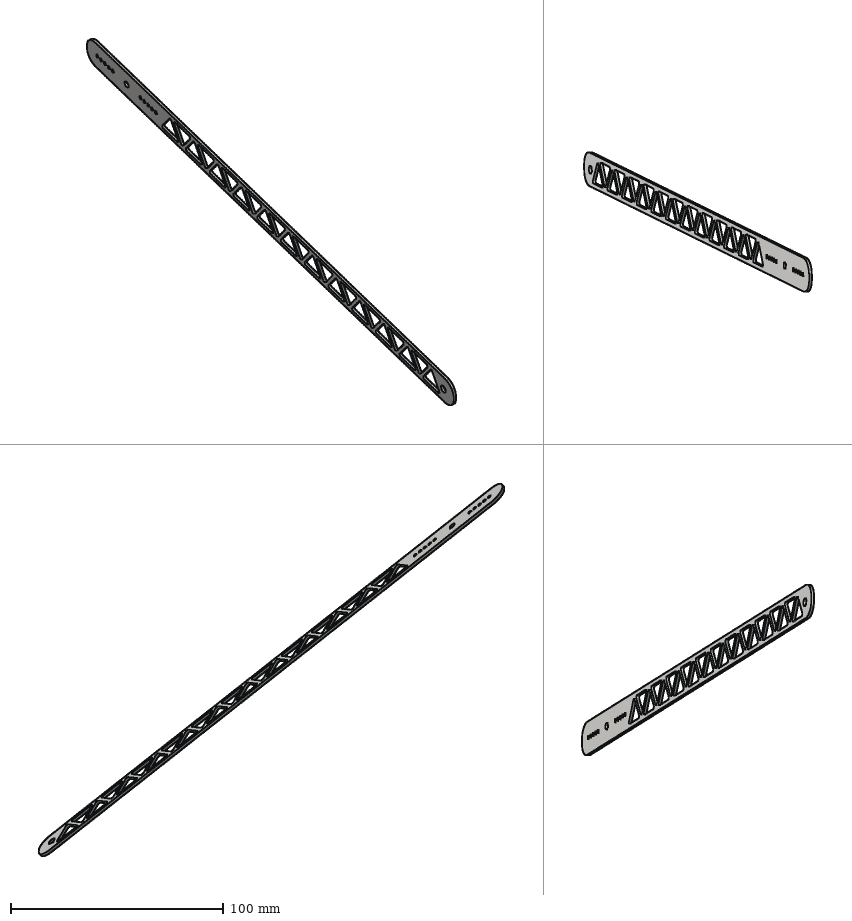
import cadquery as cq
import math

length = 288.0
thickness = 1.5
height = 16.0
bar_corner_radius = 7.0

left_end = -length / 2
right_end = length / 2
pivot_diameter = 3.7
pivot_inset = 8.0
pivot_x = right_end - pivot_inset
locating_hole_diameter = 3.2
locating_hole_inset = 31.0
locating_hole_x = left_end + locating_hole_inset
small_hole_diameter = 1.7
small_hole_count = 5
small_group_span = 12.0
small_hole_pitch = small_group_span / (small_hole_count - 1)
small_group_offset = 17.0

upright_count = 12
first_triangle_inset = 65.5
truss_span = 205.0
first_triangle_x = left_end + first_triangle_inset
truss_pitch = truss_span / (upright_count - 1)
rail_width = 2.22
strut_width = 2.0
triangle_corner_radius = 0.92
base_level = height / 2 - rail_width
base_angle = math.radians(59)
slope = math.tan(base_angle)
strut_run = strut_width / math.sin(base_angle)
half_width_at_middle = (truss_pitch / 2 - strut_run) / 2
half_base = half_width_at_middle + base_level / slope
apex_level = half_width_at_middle * slope


def make_bar():
    """Flat bar with all four corners rounded."""
    return cq.Workplane("XY").box(length, thickness, height).edges("|Y").fillet(bar_corner_radius)


def make_holes(centers_x, diameter):
    """Through-hole cutters on the centre line."""
    points = [(x, 0) for x in centers_x]
    return cq.Workplane("XZ").pushPoints(points).circle(diameter / 2).extrude(thickness, both=True)


def make_triangle(center_x, direction):
    """Triangular window; direction is 1 for apex up and -1 for apex down."""
    corners = [
        (center_x - half_base, -direction * base_level),
        (center_x + half_base, -direction * base_level),
        (center_x, direction * apex_level),
    ]
    window = cq.Workplane("XZ").polyline(corners).close().extrude(thickness, both=True)
    return window.edges("|Y").fillet(triangle_corner_radius)


result = make_bar()
result = result.cut(make_holes([pivot_x], pivot_diameter))
result = result.cut(make_holes([locating_hole_x], locating_hole_diameter))

for side in (-1, 1):
    group_x = locating_hole_x + side * small_group_offset
    first_x = group_x - small_group_span / 2
    small_holes_x = [first_x + i * small_hole_pitch for i in range(small_hole_count)]
    result = result.cut(make_holes(small_holes_x, small_hole_diameter))

for i in range(2 * upright_count - 1):
    apex_direction = 1 if i % 2 == 0 else -1
    result = result.cut(make_triangle(first_triangle_x + i * truss_pitch / 2, apex_direction))